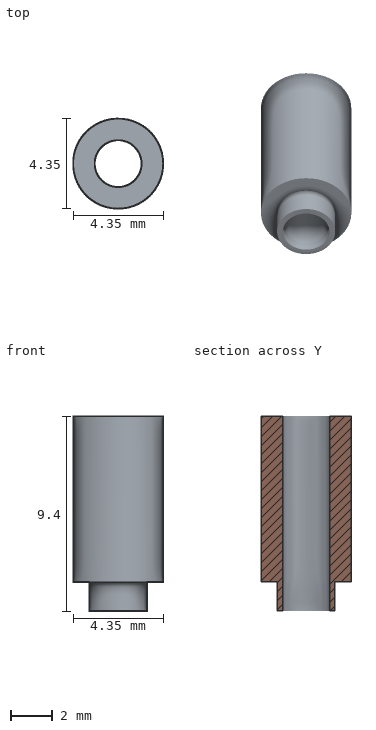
import cadquery as cq

total_height = 9.4
spigot_height = 1.4
body_height = total_height - spigot_height
body_diameter = 4.35
spigot_diameter = 2.8
bore_diameter = 2.25

spigot = cq.Workplane("XY").circle(spigot_diameter / 2).extrude(spigot_height)
body = (
    cq.Workplane("XY")
    .workplane(offset=spigot_height)
    .circle(body_diameter / 2)
    .extrude(body_height)
)

bore = cq.Workplane("XY").circle(bore_diameter / 2).extrude(total_height)

result = spigot.union(body).cut(bore)